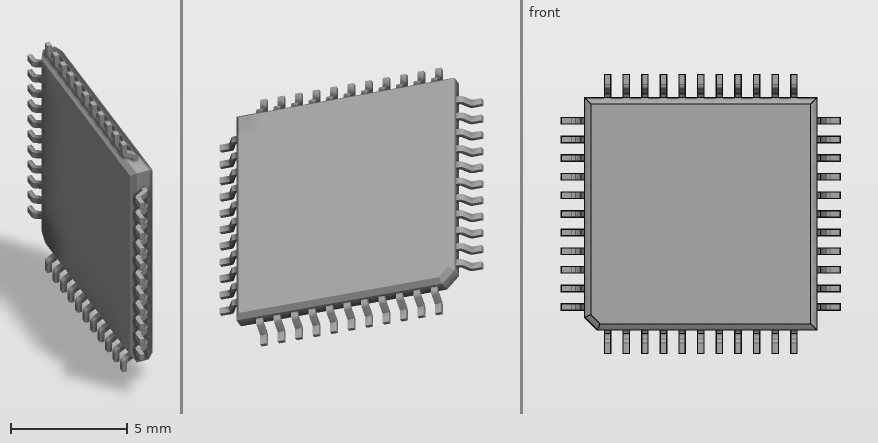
import cadquery as cq
import math


sides = 4

overall_span = 12.0
overall_height = 1.12

body_side = 10.0
standoff = 0.1
corner_cut = 0.55
band_bottom = 0.29
band_top = 0.85
mount_inset = 0.28
top_inset = 0.19

leads_per_side = 11
lead_row_span = 8.0
lead_pitch = lead_row_span / (leads_per_side - 1)
lead_width = 0.29
lead_thickness = 0.2
lead_top = 0.71
foot_length = 0.45
leg_angle = math.radians(60)
lead_embed = 0.12


def body_outline(y, inset):
    """Wire of the square with one cut corner, moved inwards by inset, at height y."""
    half = body_side / 2 - inset
    cut = corner_cut - inset * (2 - math.sqrt(2))
    corners = [
        (-half + cut, y, -half),
        (half, y, -half),
        (half, y, half),
        (-half, y, half),
        (-half, y, -half + cut),
    ]
    return cq.Wire.makePolygon([cq.Vector(*corner) for corner in corners], close=True)


def make_body():
    """Side band with a sloping frustum below and above it."""
    sections = [
        body_outline(standoff, mount_inset),
        body_outline(band_bottom, 0),
        body_outline(band_top, 0),
        body_outline(overall_height, top_inset),
    ]
    ruled = True
    body = cq.Workplane("XY")
    for lower, upper in zip(sections, sections[1:]):
        body = body.add(cq.Solid.makeLoft([lower, upper], ruled))
    return body.combine()


def make_lead():
    """Gull-wing lead on the +X side; each bend is sharp inside and round outside."""
    tip = overall_span / 2
    root = body_side / 2 - lead_embed
    lead_underside = lead_top - lead_thickness

    across_x = lead_thickness * math.sin(leg_angle)
    across_y = lead_thickness * math.cos(leg_angle)
    middle_x = lead_thickness * math.sin(leg_angle / 2)
    middle_y = lead_thickness * math.cos(leg_angle / 2)

    foot_x = tip - foot_length
    foot_y = lead_thickness
    leg_rise = lead_underside - (foot_y - across_y)
    shoulder_x = foot_x - across_x - leg_rise / math.tan(leg_angle)

    profile = (
        cq.Workplane("XY")
        .moveTo(tip, 0)
        .lineTo(foot_x, 0)
        .threePointArc((foot_x - middle_x, foot_y - middle_y), (foot_x - across_x, foot_y - across_y))
        .lineTo(shoulder_x, lead_underside)
        .lineTo(root, lead_underside)
        .lineTo(root, lead_top)
        .lineTo(shoulder_x, lead_top)
        .threePointArc(
            (shoulder_x + middle_x, lead_underside + middle_y),
            (shoulder_x + across_x, lead_underside + across_y),
        )
        .lineTo(foot_x, foot_y)
        .lineTo(tip, foot_y)
        .close()
    )
    return profile.extrude(lead_width / 2, both=True)


def make_lead_row():
    """Evenly spaced leads along the +X side."""
    lead = make_lead()
    row = cq.Workplane("XY")
    for index in range(leads_per_side):
        lead_z = index * lead_pitch - lead_row_span / 2
        row = row.add(lead.translate((0, 0, lead_z)).val())
    return row.combine()


result = make_body()
lead_row = make_lead_row()
for side in range(sides):
    result = result.union(lead_row.rotate((0, 0, 0), (0, 1, 0), side * 360 / sides))